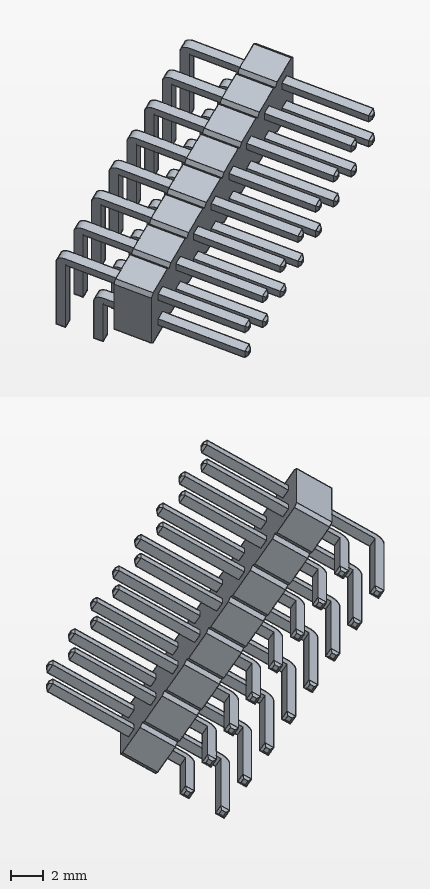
import cadquery as cq

pitch = 2.55
position_count = 8
row_count = 2
housing_chamfer = pitch / 10
pin_width = pitch / 4
tip_chamfer = 0.16
contact_length = 6.01
overall_length = 12.9
overall_height = 8.09

housing_depth = pitch
housing_height = row_count * pitch
contact_end = housing_depth / 2 + contact_length
outermost_tail = contact_end - overall_length
tail_end = housing_height - overall_height


def centred_positions(count):
    """Y places of a row of features spread evenly about the middle."""
    return [(i - (count - 1) / 2) * pitch for i in range(count)]


def make_housing_segment(y):
    """One housing segment with bevelled long edges at top and bottom."""
    return (
        cq.Workplane("XY")
        .box(housing_depth, pitch, housing_height, centered=(True, True, False))
        .edges("|X")
        .chamfer(housing_chamfer)
        .translate((0, y, 0))
    )


def make_pin(row, y):
    """A right-angle pin; row 0 is the top row with the longest tail."""
    tail_side = outermost_tail + row * pitch
    top = housing_height - (row + 0.5) * pitch + pin_width / 2
    pin = (
        cq.Workplane("XZ")
        .moveTo(tail_side, tail_end)
        .lineTo(tail_side, top - pin_width)
        .radiusArc((tail_side + pin_width, top), pin_width)
        .lineTo(contact_end, top)
        .lineTo(contact_end, top - pin_width)
        .lineTo(tail_side + pin_width, top - pin_width)
        .lineTo(tail_side + pin_width, tail_end)
        .close()
        .extrude(pin_width / 2, both=True)
    )
    for end_face in (">X", "<Z"):
        pin = pin.faces(end_face).chamfer(tip_chamfer)
    return pin.translate((0, y, 0))


result = cq.Workplane("XY")
for segment_y in centred_positions(position_count):
    result = result.union(make_housing_segment(segment_y))
for pin_y in centred_positions(position_count):
    for pin_row in range(row_count):
        result = result.union(make_pin(pin_row, pin_y))
result = result.clean()